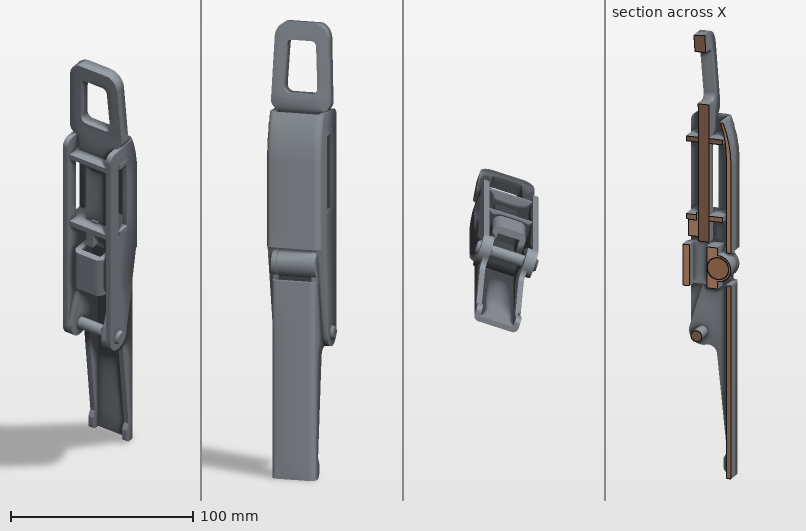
import cadquery as cq
import math


SHEET = 3.0
FRAME_WIDTH = 31.5
LEVER_WIDTH = FRAME_WIDTH - 2 * SHEET
LEVER_INSIDE = LEVER_WIDTH - 2 * SHEET
BEND_RADIUS = 3.3
DEPTH = 28.5

LUG_RADIUS = 8.0
PIVOT_Y = LUG_RADIUS - DEPTH
PIVOT_Z = 80.0
PIVOT_RADIUS = 3.3
PIN_HEAD_RADIUS = 4.0
PIN_HEAD_TIP_RADIUS = 3.0
PIN_HEAD_LENGTH = 1.8
BLOCK_PIN_Y = -LUG_RADIUS
BLOCK_PIN_Z = 120.5
BLOCK_PIN_RADIUS = 6.0

FRAME_TOP = 204.7
FRAME_BACK_END = 129.8
FRAME_FRONT_CORNER = 4.5
BACK_CURVE_START = 180.5
BACK_CURVE_TOP_Y = -4.8
INNER_CURVE_START = 185.0
INNER_CURVE_TOP_Y = -6.5
SLOT_BOTTOM = 147.0
SLOT_TOP = 194.8
SLOT_WIDTH = 8.1
STEM_Y = -16.3

PLATE_THICKNESS = 3.0
PLATE_BACK_Y = -5.0
PLATE_FRONT_Y = -26.5
PLATE_TAB_SPAN = 32.0
PLATE_TAB_DEPTH = 7.4
PLATE_BOTTOMS = (SLOT_BOTTOM, SLOT_TOP - PLATE_THICKNESS)

HOOK_TOP = 254.0
HOOK_THICKNESS = 6.5
HOOK_TILT_SHIFT = 2.5
HOOK_EDGE_DROP = 0.8
HOOK_BEND_Z = 211.8
HOOK_BASE_HALF = 17.3
HOOK_TOP_HALF = 15.2
HOOK_TOP_CORNER = 9.1
HOOK_BASE_CORNER = 5.0
NECK_HALF = 11.2
STEM_WIDTH = 12.7
STEM_BOTTOM = 135.0
STEM_CORNER = 1.3
EYE_TOP = 243.8
EYE_BOTTOM = 214.0
EYE_TOP_HALF = 8.5
EYE_BOTTOM_HALF = 10.0
EYE_TOP_CORNER = 3.0
EYE_BOTTOM_CORNER = 3.8

CLIP_WIDTH = 4.0
CLIP_BOTTOM = 137.5
CLIP_TOP = 151.5
CLIP_FRONT_Y = -25.5
CLIP_TONGUE = 1.0

LEVER_BACK_TOP = 111.3
LUG_NECK_Y = -3.5
WALL_UPPER_Y = -13.2
WALL_LOWER_Y = -6.0
WALL_LOWER_Z = 12.0
FOOT_Y = -8.1
FOOT_Z = 8.5
FOOT_CORNER = 3.0
FOOT_BUMP_CORNER = 1.5
PIVOT_BLEND = 5.0

BLOCK_WIDTH = 19.0
BLOCK_HEIGHT = 24.0
BLOCK_CORNER = 4.3
BARREL_RADIUS = 7.5
BORE_BACK_Y = -14.5
BORE_FRONT_Y = -24.5

STEM_BACK_Y = STEM_Y + HOOK_THICKNESS / 2
STEM_FRONT_Y = STEM_Y - HOOK_THICKNESS / 2


def box(x_size, y_front, y_back, z_bottom, z_top):
    """Box centred on X = 0, given by its Y and Z limits."""
    size = (x_size, y_back - y_front, z_top - z_bottom)
    corner = (-x_size / 2, y_front, z_bottom)
    return cq.Workplane("XY").box(*size, centered=False).translate(corner)


def cross_bar(radius, length, y, z):
    """Round bar along X, centred on X = 0."""
    return cq.Workplane("YZ").center(y, z).circle(radius).extrude(length / 2, both=True)


def arc_middle(start_z, end_y, base_y):
    """Middle point of the arc that leaves y = base_y upright at start_z and ends at the frame top."""
    rise = FRAME_TOP - start_z
    offset = base_y - end_y
    radius = (rise**2 + offset**2) / (2 * offset)
    half_angle = math.asin(rise / radius) / 2
    y = base_y - radius * (1 - math.cos(half_angle))
    return y, start_z + radius * math.sin(half_angle)


def frame_outline():
    """Side outline of the frame: curved back, front corner and a round end at the pivot."""
    wall_y = -BEND_RADIUS
    dy, dz = wall_y - PIVOT_Y, FRAME_BACK_END - PIVOT_Z
    tangent = math.atan2(dz, dy) - math.acos(LUG_RADIUS / math.hypot(dy, dz))
    end_middle = (tangent - math.pi) / 2

    def on_end(angle):
        return PIVOT_Y + LUG_RADIUS * math.cos(angle), PIVOT_Z + LUG_RADIUS * math.sin(angle)

    return (
        cq.Workplane("YZ")
        .moveTo(BACK_CURVE_TOP_Y, FRAME_TOP)
        .threePointArc(arc_middle(BACK_CURVE_START, BACK_CURVE_TOP_Y, 0), (0, BACK_CURVE_START))
        .lineTo(0, FRAME_BACK_END)
        .lineTo(wall_y, FRAME_BACK_END)
        .lineTo(*on_end(tangent))
        .threePointArc(on_end(end_middle), (-DEPTH, PIVOT_Z))
        .lineTo(-DEPTH, FRAME_TOP - FRAME_FRONT_CORNER)
        .radiusArc((FRAME_FRONT_CORNER - DEPTH, FRAME_TOP), FRAME_FRONT_CORNER)
        .close()
    )


def make_frame():
    """Channel with a bent back, two plate slots and the pivot hole."""
    margin = SHEET / 2
    back_edges = cq.selectors.BoxSelector(
        (-FRAME_WIDTH, -BEND_RADIUS, FRAME_BACK_END + margin),
        (FRAME_WIDTH, margin, FRAME_TOP - margin),
    )
    shell = frame_outline().extrude(FRAME_WIDTH / 2, both=True)
    shell = shell.faces("<X or >X").edges(back_edges).fillet(BEND_RADIUS)
    inner_middle = arc_middle(INNER_CURVE_START, INNER_CURVE_TOP_Y, -SHEET)
    channel = (
        cq.Workplane("YZ")
        .moveTo(INNER_CURVE_TOP_Y, FRAME_TOP)
        .threePointArc(inner_middle, (-SHEET, INNER_CURVE_START))
        .lineTo(-SHEET, 0)
        .lineTo(-DEPTH, 0)
        .lineTo(-DEPTH, FRAME_TOP)
        .close()
        .extrude(LEVER_WIDTH / 2, both=True)
    )
    slot = box(FRAME_WIDTH, STEM_Y - SLOT_WIDTH / 2, STEM_Y + SLOT_WIDTH / 2, SLOT_BOTTOM, SLOT_TOP)
    pivot_hole = cross_bar(PIVOT_RADIUS, FRAME_WIDTH, PIVOT_Y, PIVOT_Z)
    return shell.cut(channel).cut(slot).cut(pivot_hole)


def make_lever():
    """Channel with a tapering grip, pivot lugs, and upper lugs that hold the block pin."""
    dy, dz = PIVOT_Y - BLOCK_PIN_Y, PIVOT_Z - BLOCK_PIN_Z
    reach = LUG_RADIUS / math.hypot(dy, dz)
    side_y, side_z = dz * reach, -dy * reach
    wall = (
        cq.Workplane("YZ")
        .polyline(
            [
                (0, 0),
                (0, LEVER_BACK_TOP),
                (LUG_NECK_Y, LEVER_BACK_TOP),
                (LUG_NECK_Y, BLOCK_PIN_Z),
                (BLOCK_PIN_Y, BLOCK_PIN_Z),
                (BLOCK_PIN_Y + side_y, BLOCK_PIN_Z + side_z),
                (PIVOT_Y + side_y, PIVOT_Z + side_z),
                (PIVOT_Y, PIVOT_Z),
                (WALL_UPPER_Y, PIVOT_Z),
                (WALL_LOWER_Y, WALL_LOWER_Z),
                (FOOT_Y, FOOT_Z),
                (FOOT_Y, 0),
            ]
        )
        .close()
        .extrude(LEVER_WIDTH / 2, both=True)
        .union(cross_bar(LUG_RADIUS, LEVER_WIDTH, BLOCK_PIN_Y, BLOCK_PIN_Z))
        .union(cross_bar(LUG_RADIUS, LEVER_WIDTH, PIVOT_Y, PIVOT_Z))
    )
    wall = wall.edges(cq.NearestToPointSelector((0, WALL_UPPER_Y, PIVOT_Z - LUG_RADIUS))).fillet(PIVOT_BLEND)
    wall = wall.edges(cq.NearestToPointSelector((0, FOOT_Y, 0))).fillet(FOOT_CORNER)
    wall = wall.edges(cq.NearestToPointSelector((0, FOOT_Y, FOOT_Z))).fillet(FOOT_BUMP_CORNER)
    wall = wall.faces("<X or >X").edges("|Z and >Y").fillet(SHEET)
    channel = box(LEVER_INSIDE, -DEPTH, -SHEET, 0, FRAME_TOP)
    above_back = box(LEVER_INSIDE, -DEPTH, 0, LEVER_BACK_TOP, FRAME_TOP)
    pivot_hole = cross_bar(PIVOT_RADIUS, LEVER_WIDTH, PIVOT_Y, PIVOT_Z)
    return wall.cut(channel).cut(above_back).cut(pivot_hole).cut(block_pin_shape())


def make_pivot_pin():
    """Pin along X with a tapered head outside each frame wall."""
    half = FRAME_WIDTH / 2
    tip = half + PIN_HEAD_LENGTH
    profile = [
        (0, -tip),
        (PIN_HEAD_TIP_RADIUS, -tip),
        (PIN_HEAD_RADIUS, -half),
        (PIVOT_RADIUS, -half),
        (PIVOT_RADIUS, half),
        (PIN_HEAD_RADIUS, half),
        (PIN_HEAD_TIP_RADIUS, tip),
        (0, tip),
    ]
    pin = cq.Workplane("XY").polyline(profile).close().revolve(360, (0, 0, 0), (0, 1, 0))
    return pin.rotate((0, 0, 0), (0, 0, 1), 90).translate((0, PIVOT_Y, PIVOT_Z))


def block_pin_shape():
    """Plain pin, flush with the outside of the lever walls."""
    return cross_bar(BLOCK_PIN_RADIUS, LEVER_WIDTH, BLOCK_PIN_Y, BLOCK_PIN_Z)


def make_block():
    """Block with rounded front corners, bored along Z, swinging on a barrel round its pin."""
    bottom, top = BLOCK_PIN_Z - BLOCK_HEIGHT / 2, BLOCK_PIN_Z + BLOCK_HEIGHT / 2
    block = box(BLOCK_WIDTH, -DEPTH, BLOCK_PIN_Y, bottom, top)
    block = block.edges("|Z and <Y").fillet(BLOCK_CORNER)
    block = block.union(cross_bar(BARREL_RADIUS, BLOCK_WIDTH, BLOCK_PIN_Y, BLOCK_PIN_Z))
    bore = box(STEM_WIDTH, BORE_FRONT_Y, BORE_BACK_Y, bottom, top)
    return block.cut(bore).cut(block_pin_shape())


def make_hook():
    """Flat hook: an eye leaning forward above the bend, a neck, and a stem through both plates."""
    half_outline = [
        (STEM_WIDTH / 2, STEM_BOTTOM),
        (STEM_WIDTH / 2, SLOT_TOP),
        (NECK_HALF, SLOT_TOP),
        (NECK_HALF, FRAME_TOP),
        (HOOK_BASE_HALF, FRAME_TOP),
        (HOOK_TOP_HALF, HOOK_TOP),
    ]
    outline = half_outline + [(-x, z) for x, z in reversed(half_outline)]
    blank = cq.Workplane("XZ").polyline(outline).close().extrude(DEPTH)
    corners = (
        (STEM_WIDTH / 2, STEM_BOTTOM, STEM_CORNER),
        (HOOK_BASE_HALF, FRAME_TOP, HOOK_BASE_CORNER),
        (HOOK_TOP_HALF, HOOK_TOP, HOOK_TOP_CORNER),
    )
    for x, z, radius in corners:
        for side in (-1, 1):
            corner = cq.NearestToPointSelector((side * x, -DEPTH / 2, z))
            blank = blank.edges("|Y").edges(corner).fillet(radius)
    side_shape = (
        cq.Workplane("YZ")
        .polyline(
            [
                (STEM_BACK_Y, STEM_BOTTOM),
                (STEM_BACK_Y, HOOK_BEND_Z),
                (STEM_BACK_Y - HOOK_TILT_SHIFT, HOOK_TOP),
                (STEM_FRONT_Y - HOOK_TILT_SHIFT, HOOK_TOP - HOOK_EDGE_DROP),
                (STEM_FRONT_Y, HOOK_BEND_Z),
                (STEM_FRONT_Y, STEM_BOTTOM),
            ]
        )
        .close()
        .extrude(HOOK_BASE_HALF, both=True)
    )
    eye = (
        cq.Workplane("XZ")
        .polyline(
            [
                (-EYE_BOTTOM_HALF, EYE_BOTTOM),
                (EYE_BOTTOM_HALF, EYE_BOTTOM),
                (EYE_TOP_HALF, EYE_TOP),
                (-EYE_TOP_HALF, EYE_TOP),
            ]
        )
        .close()
        .extrude(DEPTH)
    )
    eye = eye.edges("|Y and >Z").fillet(EYE_TOP_CORNER)
    eye = eye.edges("|Y and <Z").fillet(EYE_BOTTOM_CORNER)
    return blank.intersect(side_shape).cut(eye)


def clip_shape():
    """Stop clip: a block under the lower plate with a thin tongue up through that plate."""
    tongue = box(CLIP_WIDTH, STEM_FRONT_Y - CLIP_TONGUE, STEM_FRONT_Y, CLIP_BOTTOM, CLIP_TOP)
    return tongue.union(box(CLIP_WIDTH, CLIP_FRONT_Y, STEM_FRONT_Y, CLIP_BOTTOM, SLOT_BOTTOM))


def make_plate(bottom):
    """Guide plate between the frame walls, with a tab into each slot and a hole for the stem."""
    top = bottom + PLATE_THICKNESS
    tab_back = STEM_Y + SLOT_WIDTH / 2
    body = box(LEVER_WIDTH, PLATE_FRONT_Y, PLATE_BACK_Y, bottom, top)
    tabs = box(PLATE_TAB_SPAN, tab_back - PLATE_TAB_DEPTH, tab_back, bottom, top)
    stem_hole = box(STEM_WIDTH, STEM_FRONT_Y, STEM_BACK_Y, bottom, top)
    return body.union(tabs).cut(stem_hole).cut(clip_shape())


frame = make_frame()
lever = make_lever()
pivot_pin = make_pivot_pin()
block = make_block()
block_pin = block_pin_shape()
hook = make_hook()
clip = clip_shape()
plates = [make_plate(bottom) for bottom in PLATE_BOTTOMS]

result = cq.Compound.makeCompound(
    [
        frame.val(),
        lever.val(),
        pivot_pin.val(),
        block.val(),
        block_pin.val(),
        hook.val(),
        clip.val(),
        *[plate.val() for plate in plates],
    ]
)